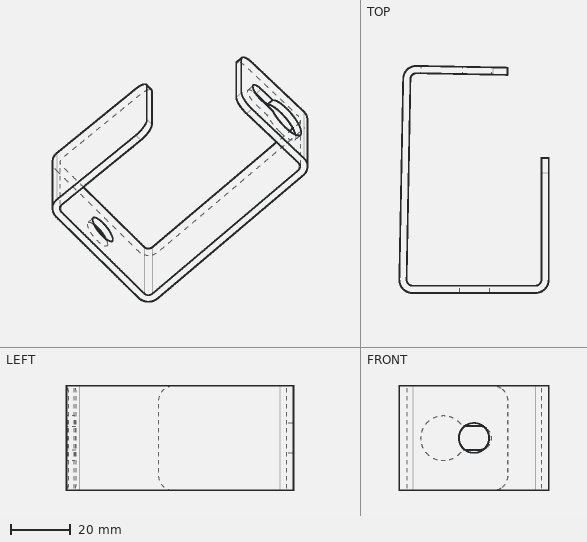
import cadquery as cq
import math

width = 49.95
length = 75.9
height = 35.0

thickness = 2.5
outer_bend = 4.5
inner_bend = outer_bend - thickness

lean_angle = 1.1
side_flange_length = 45.2
rear_flange_reach = 36.2
tip_radius = 5.0

front_hole_diameter = 10.0
keyhole_diameter = 15.0
slot_width = 8.0
slot_end_x = 1.7
keyhole_center_x = -10.4

lean = math.radians(lean_angle)
along_web = cq.Vector(math.sin(lean), math.cos(lean))
along_rear = cq.Vector(math.cos(lean), -math.sin(lean))
along_base = cq.Vector(1, 0)
along_side = cq.Vector(0, 1)

bend_inset = width / 2 - outer_bend
base_bend_y = -length / 2 + outer_bend
side_bend = cq.Vector(bend_inset, base_bend_y)
web_bend = cq.Vector(-bend_inset, base_bend_y)
rear_bend = web_bend + along_web * ((length - 2 * outer_bend) / math.cos(lean))

side_straight = side_flange_length - outer_bend
rear_tip_x = -width / 2 + rear_flange_reach
rear_straight = (rear_tip_x - rear_bend.x - outer_bend * math.sin(lean)) / math.cos(lean)


def bend_points(center, radius, start, end):
    """Start, middle and end of a bend arc between two outward directions."""
    directions = (start, (start + end).normalized(), end)
    return [(center + direction * radius).toTuple()[:2] for direction in directions]


def strip_profile():
    """Closed outline of the folded sheet, outer face first."""
    bends = (
        (side_bend, along_base, -along_side),
        (web_bend, -along_side, -along_rear),
        (rear_bend, -along_rear, along_web),
    )
    side_tip = side_bend + along_side * side_straight
    rear_tip = rear_bend + along_rear * rear_straight
    profile = cq.Workplane("XY").moveTo(*(side_tip + along_base * outer_bend).toTuple()[:2])
    for center, start, end in bends:
        first, middle, last = bend_points(center, outer_bend, start, end)
        profile = profile.lineTo(*first).threePointArc(middle, last)
    for radius in (outer_bend, inner_bend):
        profile = profile.lineTo(*(rear_tip + along_web * radius).toTuple()[:2])
    for center, start, end in reversed(bends):
        first, middle, last = bend_points(center, inner_bend, end, start)
        profile = profile.lineTo(*first).threePointArc(middle, last)
    profile = profile.lineTo(*(side_tip + along_base * inner_bend).toTuple()[:2])
    return profile.close()


def round_tips(body):
    """Round the upper and lower corners of both free flange ends."""
    for center, direction, outward, straight in (
        (side_bend, along_side, along_base, side_straight),
        (rear_bend, along_rear, along_web, rear_straight),
    ):
        tip = center + direction * straight + outward * (outer_bend - thickness / 2)
        for level in (-height / 2, height / 2):
            corner = tip + cq.Vector(0, 0, level)
            body = body.edges(cq.selectors.NearestToPointSelector(corner.toTuple())).fillet(tip_radius)
    return body


def front_hole():
    plane = cq.Plane(origin=(0, -length / 2, 0), xDir=(1, 0, 0), normal=(0, 1, 0))
    return cq.Workplane(plane).circle(front_hole_diameter / 2).extrude(thickness)


def keyhole():
    """Round opening with a narrower round-ended slot running toward the flange tip."""
    plane = cq.Plane(
        origin=(rear_bend + along_web * inner_bend).toTuple(),
        xDir=along_rear.toTuple(),
        normal=along_web.toTuple(),
    )
    opening_offset = (keyhole_center_x - rear_bend.x) / math.cos(lean)
    slot_offset = (slot_end_x - rear_bend.x) / math.cos(lean)
    slot_run = slot_offset - opening_offset
    sheet = cq.Workplane(plane)
    opening = sheet.center(opening_offset, 0).circle(keyhole_diameter / 2).extrude(thickness)
    slot = sheet.center((opening_offset + slot_offset) / 2, 0).slot2D(slot_run + slot_width, slot_width)
    return opening.union(slot.extrude(thickness))


bracket = strip_profile().extrude(height / 2, both=True)
bracket = round_tips(bracket)
result = bracket.cut(front_hole()).cut(keyhole())